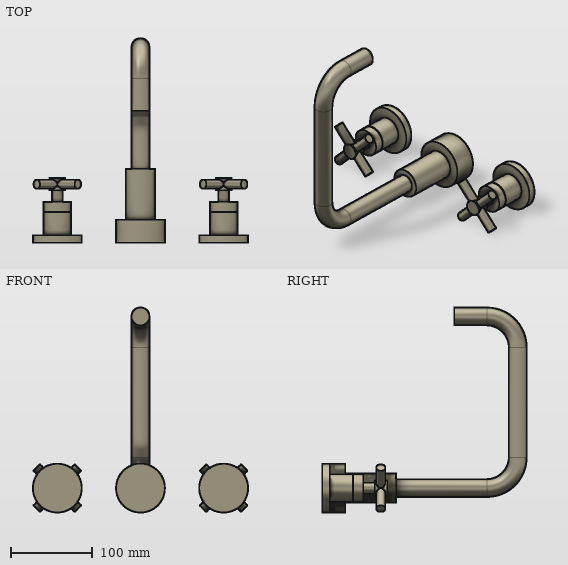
import cadquery as cq

base_diameter = 60.0
handle_spacing = 101.6

spout_base_end = 28.5
sleeve_diameter = 36.0
sleeve_end = 90.3
tube_diameter = 22.0
spout_depth = 250.1
spout_height = 251.0
bend_radius = 38.0
spout_tip = 161.1

flange_end = 9.5
body_diameter = 34.0
body_end = 50.0
groove_start = 37.7
groove_width = 0.5
groove_depth = 0.3
stem_diameter = 13.5
hub_diameter = 19.5
hub_waist_diameter = 16.0
hub_start = 64.0
hub_end = 79.3
hub_middle = (hub_start + hub_end) / 2
arm_diameter = 11.3
arm_reach = 35.5
arm_angles = (45, 135)


def cylinder_along_y(diameter, start, end):
    """Cylinder on the Y axis between two distances from the wall."""
    return cq.Workplane("XZ", origin=(0, start, 0)).circle(diameter / 2).extrude(start - end)


def make_tube():
    """Round tube running out from the sleeve, up, and back toward the wall."""
    upright_y = spout_depth - tube_diameter / 2
    outlet_z = spout_height - base_diameter / 2 - tube_diameter / 2
    bend_y = upright_y - bend_radius
    upper_bend_z = outlet_z - bend_radius
    path = (
        cq.Workplane("YZ")
        .moveTo(sleeve_end, 0)
        .lineTo(bend_y, 0)
        .tangentArcPoint((upright_y, bend_radius), relative=False)
        .lineTo(upright_y, upper_bend_z)
        .tangentArcPoint((bend_y, outlet_z), relative=False)
        .lineTo(spout_tip, outlet_z)
    )
    profile = cq.Workplane("XZ", origin=(0, sleeve_end, 0)).circle(tube_diameter / 2)
    return profile.sweep(path)


def make_spout():
    base = cylinder_along_y(base_diameter, 0, spout_base_end)
    sleeve = cylinder_along_y(sleeve_diameter, spout_base_end, sleeve_end)
    return base.union(sleeve).union(make_tube())


def make_grooved_body():
    """Handle body with a fine groove around it."""
    body = cylinder_along_y(body_diameter, flange_end, body_end)
    groove_end = groove_start + groove_width
    groove_floor = cylinder_along_y(body_diameter - 2 * groove_depth, groove_start, groove_end)
    groove = cylinder_along_y(body_diameter, groove_start, groove_end).cut(groove_floor)
    return body.cut(groove)


def make_hub():
    """Spool revolved about the Y axis, narrowing in a smooth arc to its waist."""
    return (
        cq.Workplane("XY")
        .moveTo(0, hub_start)
        .lineTo(hub_diameter / 2, hub_start)
        .threePointArc((hub_waist_diameter / 2, hub_middle), (hub_diameter / 2, hub_end))
        .lineTo(0, hub_end)
        .close()
        .revolve(360, (0, 0), (0, 1))
    )


def make_cross():
    """Hub with two crossed round bars through its waist."""
    cross = make_hub()
    bar = cq.Workplane("YZ", origin=(0, hub_middle, 0)).circle(arm_diameter / 2).extrude(arm_reach, both=True)
    for angle in arm_angles:
        cross = cross.union(bar.rotate((0, 0, 0), (0, 1, 0), angle))
    return cross


def make_handle(center_x):
    flange = cylinder_along_y(base_diameter, 0, flange_end)
    stem = cylinder_along_y(stem_diameter, body_end, hub_start)
    handle = flange.union(make_grooved_body()).union(stem).union(make_cross())
    return handle.translate((center_x, 0, 0))


spout = make_spout()
handles = [make_handle(side * handle_spacing) for side in (-1, 1)]

result = cq.Compound.makeCompound([spout.val(), *[handle.val() for handle in handles]])